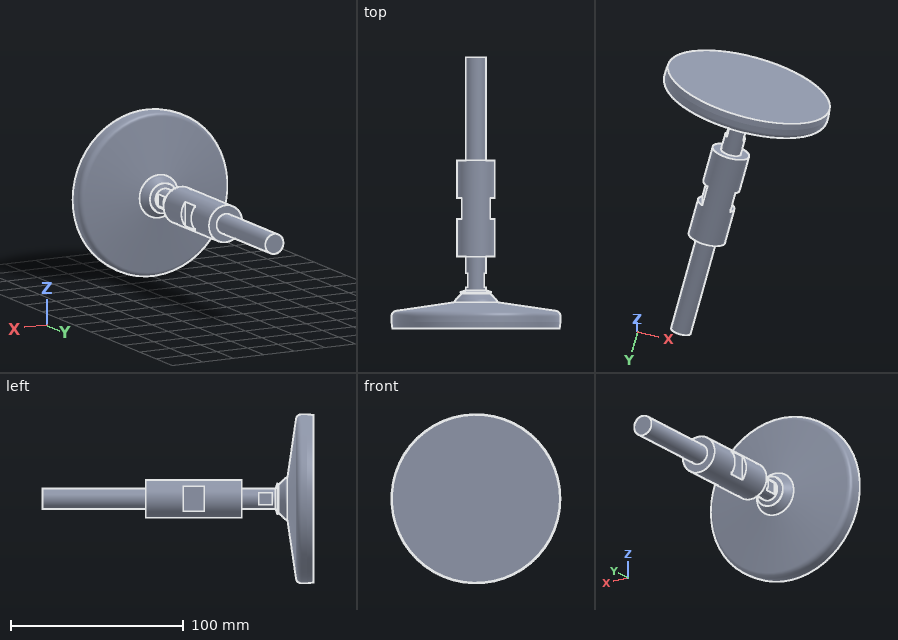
import cadquery as cq
import math

total_length = 157

base_radius = 98.0 / 2
base_bottom_radius = 48.5
draft_height = 3.8
rim_height = 7.0
shoulder_radius = 3.3
hub_radius = 12.7
hub_height = 15.2
hub_edge_radius = 11.8
hub_edge_height = 16.6
groove_radius = 8.5
groove_height = 20.1
lip_radius = 9.0
lip_height = 21.0
base_height = 22.1

spindle_radius = 12.0 / 2
spindle_flat_start = 23.9
spindle_flat_length = 8.0
spindle_flat_width = 9.7

sleeve_radius = 22 / 2
sleeve_start = 41.6
sleeve_length = 55.5
sleeve_flat_length = 12.1
sleeve_flat_start = sleeve_start + (sleeve_length - sleeve_flat_length) / 2
sleeve_flat_width = 16.6


def cylinder_along_y(radius, start, length):
    """Cylinder on the Y axis, running from start towards +Y."""
    return cq.Workplane("XZ", origin=(0, start, 0)).circle(radius).extrude(-length)


def cut_wrench_flats(body, radius, start, length, width):
    """Cut two flats facing -X and +X, leaving the given width between them."""
    middle = start + length / 2
    ring_section = cq.Workplane("XY").box(2 * radius, length, 2 * radius)
    kept_web = cq.Workplane("XY").box(width, length, 2 * radius)
    return body.cut(ring_section.cut(kept_web).translate((0, middle, 0)))


def make_base():
    """Revolved base with a rounded shoulder, a shallow cone and a lipped hub."""
    center_radius = base_radius - shoulder_radius
    distance_to_hub = math.hypot(center_radius - hub_radius, hub_height - rim_height)
    angle_to_hub = math.atan2(hub_height - rim_height, hub_radius - center_radius)
    end_angle = angle_to_hub - math.acos(shoulder_radius / distance_to_hub)

    def shoulder_point(angle):
        return (
            center_radius + shoulder_radius * math.cos(angle),
            rim_height + shoulder_radius * math.sin(angle),
        )

    return (
        cq.Workplane("XY")
        .lineTo(base_bottom_radius, 0)
        .lineTo(base_radius, draft_height)
        .lineTo(base_radius, rim_height)
        .threePointArc(shoulder_point(end_angle / 2), shoulder_point(end_angle))
        .lineTo(hub_radius, hub_height)
        .lineTo(hub_edge_radius, hub_edge_height)
        .lineTo(groove_radius, groove_height)
        .lineTo(lip_radius, lip_height)
        .lineTo(spindle_radius, base_height)
        .lineTo(0, base_height)
        .close()
        .revolve(360, (0, 0, 0), (0, 1, 0))
    )


def make_spindle():
    """Rod standing on the base, with two wrench flats."""
    rod = cylinder_along_y(spindle_radius, base_height, total_length - base_height)
    return cut_wrench_flats(
        rod, spindle_radius, spindle_flat_start, spindle_flat_length, spindle_flat_width
    )


def make_sleeve():
    """Sleeve around the spindle, with two wrench flats at mid-length."""
    outside = cylinder_along_y(sleeve_radius, sleeve_start, sleeve_length)
    bore = cylinder_along_y(spindle_radius, sleeve_start, sleeve_length)
    return cut_wrench_flats(
        outside.cut(bore), sleeve_radius, sleeve_flat_start, sleeve_flat_length, sleeve_flat_width
    )


base = make_base()
spindle = make_spindle()
sleeve = make_sleeve()

result = cq.Compound.makeCompound([base.val(), spindle.val(), sleeve.val()])